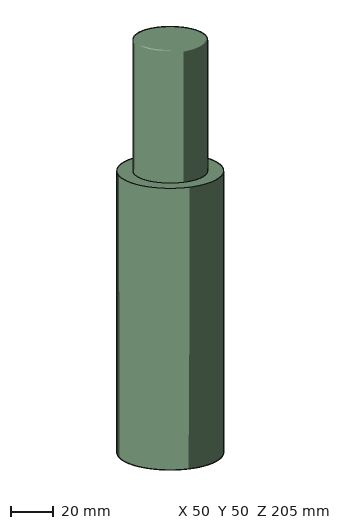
import cadquery as cq

total_length = 205.0
body_diameter = 50.0
pin_diameter = 35.0
pin_length = 65.5
tip_fillet = 1.0

body_length = total_length - pin_length

body = cq.Workplane("XY").circle(body_diameter / 2).extrude(body_length)

pin = (
    cq.Workplane("XY")
    .workplane(offset=body_length)
    .circle(pin_diameter / 2)
    .extrude(pin_length)
    .faces(">Z")
    .edges()
    .fillet(tip_fillet)
)

result = body.union(pin)